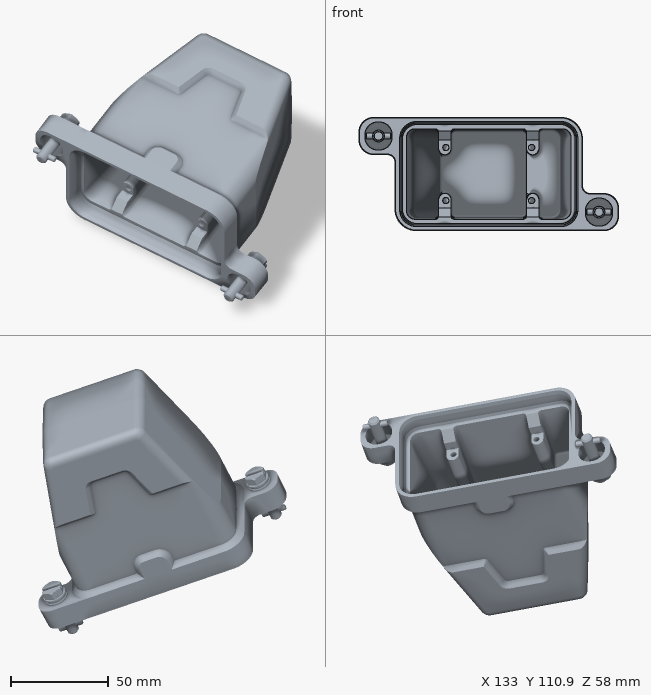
import cadquery as cq
import math


FLANGE_DEPTH = 12.0
FLANGE_WIDTH = 96.0
FLANGE_HEIGHT = 58.0
FLANGE_CORNER_RADIUS = 11.0
FLANGE_DRAFT = 1.0
EAR_SPAN = 133.0
EAR_HEIGHT = 19.0
EAR_RADIUS = 7.5
EAR_ROOT_RADIUS = 4.0
BOLT_X = EAR_SPAN / 2 - 10.0
BOLT_Z = FLANGE_HEIGHT / 2 - EAR_HEIGHT / 2
BOLT_PLACES = [(-BOLT_X, BOLT_Z), (BOLT_X, -BOLT_Z)]
BOLT_POCKET_WIDTH = 14.0
BOLT_POCKET_HEIGHT = 14.4
BOLT_POCKET_RADIUS = 6.7
BOLT_POCKET_DEPTH = 9.0

HOOD_DEPTH = 100.0
HOOD_WIDTH = 90.0
HOOD_HEIGHT = FLANGE_HEIGHT
KNEE_Y = 35.2
SIDE_SLOPE = math.tan(math.radians(15.0))
HOOD_DRAFT = 1.0
HOOD_EDGE_RADIUS = 4.5
HOOD_CORNER_RADIUS = 5.0
STEP = 2.8
NECK_HEIGHT = HOOD_HEIGHT - 2 * STEP
NECK_CORNER_RADIUS = 8.5
SHOULDER_Y = 57.6
CROWN_Y = 77.0
CROWN_HALF_WIDTH = 9.9
CROWN_CORNER_RADIUS = 2.0
PAD_TOP_Y = 25.0
PAD_HALF_WIDTH = 10.35
PAD_RADIUS = 6.7

MOUTH_LEVELS = [
    (0.0, 91.4, 54.0, 9.0),
    (2.2, 90.4, 52.8, 8.4),
    (7.2, 90.0, 52.4, 8.2),
    (8.5, 88.6, 50.8, 7.5),
]
LEDGE_Y = MOUTH_LEVELS[-1][0]

CAVITY_HALF_WIDTH = 42.2
CAVITY_HALF_HEIGHT = 23.2
CAVITY_FLOOR_HALF_HEIGHT = 22.3
CAVITY_CORNER_RADIUS = 4.6
CAVITY_KNEE_X = -38.4
CAVITY_KNEE_Y = 45.0
CAVITY_FLOOR_Y = 96.0
CAVITY_FLOOR_LEFT_X = CAVITY_KNEE_X + (CAVITY_FLOOR_Y - CAVITY_KNEE_Y) * SIDE_SLOPE
BAY_FLOOR_Y = 42.0
BAY_FLOOR_X = 36.9
FLOOR_RADIUS = 1.2

POST_X = 22.5
POST_WIDTH = 6.3
POST_TIP_Z = 9.85
POST_FACE_Y = 19.0
POST_FACE_Z = 17.5
POST_RAMP_Y = 13.8
POST_RAMP_END_Z = 22.1
POST_ROOT_RADIUS = 2.0
POST_ROOT_OVERLAP = 0.05
POST_HOLE_X = 22.0
POST_HOLE_Z = 13.6
POST_HOLE_RADIUS = 1.6
POST_HOLE_DEPTH = 12.0

SHANK_RADIUS = 3.0
SHANK_TIP_Y = -10.89
SHANK_CHAMFER = 0.8
WASHER_RADIUS = 6.1
WASHER_THICKNESS = 0.8
WASHER_GAP_RADIUS = 5.2
WASHER_STACK = 3.1
HEAD_FLATS = 10.0
HEAD_HEIGHT = 4.1
HEAD_CHAMFER = 0.5
HEAD_SLOT_WIDTH = 1.8
HEAD_SLOT_DEPTH = 1.6
CROSS_PIN_Y = -6.75
CROSS_PIN_RADIUS = 1.5
CROSS_PIN_LENGTH = 13.0
CROSS_PIN_CHAMFER = 0.4

BIG = 200.0
NEAR = 0.01


def front_facing(y):
    """Sketch plane at depth y whose extrusions run toward the front (-Y)."""
    return cq.Workplane("XZ", origin=(0, y, 0))


def rounded_rect(width, height, radius):
    return cq.Sketch().rect(width, height).vertices().fillet(radius)


def fillet_at(outline, x, y, radius):
    """Round the corner of a sketch that lies at (x, y)."""
    corner = cq.selectors.NearestToPointSelector((x, y, 0))
    return outline.vertices(corner).fillet(radius).reset()


def both_halves(upper):
    """Join a shape above the Z = 0 parting plane with its mirror image below it."""
    return upper.union(upper.mirror("XY"))


def edges_in(shape, x_range, y_range, z_range):
    """Edges lying wholly inside the given box."""
    found = []
    for edge in shape.edges().vals():
        box = edge.BoundingBox()
        in_x = x_range[0] <= box.xmin and box.xmax <= x_range[1]
        in_y = y_range[0] <= box.ymin and box.ymax <= y_range[1]
        in_z = z_range[0] <= box.zmin and box.zmax <= z_range[1]
        if in_x and in_y and in_z:
            found.append(edge)
    return shape.newObject(found)


def make_flange():
    """Drafted flange with an ear at two opposite corners."""
    ear_x = EAR_SPAN / 2
    half_width = FLANGE_WIDTH / 2
    top = FLANGE_HEIGHT / 2
    ear_bottom = top - EAR_HEIGHT
    outline = cq.Sketch().polygon([
        (-ear_x, top),
        (half_width, top),
        (half_width, -ear_bottom),
        (ear_x, -ear_bottom),
        (ear_x, -top),
        (-half_width, -top),
        (-half_width, ear_bottom),
        (-ear_x, ear_bottom),
        (-ear_x, top),
    ])
    outline = outline.vertices("<X or >X").fillet(EAR_RADIUS).reset()
    for sign in (1, -1):
        outline = fillet_at(outline, sign * half_width, sign * top, FLANGE_CORNER_RADIUS)
        outline = fillet_at(outline, sign * half_width, -sign * ear_bottom, EAR_ROOT_RADIUS)
    return front_facing(FLANGE_DEPTH).placeSketch(outline).extrude(FLANGE_DEPTH, taper=FLANGE_DRAFT)


def hood_plan():
    """Upper half of the drafted block: straight sides, then sides sloping to the back."""
    half_width = HOOD_WIDTH / 2
    back_half_width = half_width - (HOOD_DEPTH - KNEE_Y) * SIDE_SLOPE
    return (
        cq.Workplane("XY")
        .polyline([
            (-half_width, 0),
            (half_width, 0),
            (half_width, KNEE_Y),
            (back_half_width, HOOD_DEPTH),
            (-back_half_width, HOOD_DEPTH),
            (-half_width, KNEE_Y),
        ])
        .close()
        .extrude(HOOD_HEIGHT / 2, taper=HOOD_DRAFT)
    )


def shoulder_recess():
    """Recess above the neck, with a 45 degree edge that steps around a trapezoid crown."""
    crown_foot = CROWN_HALF_WIDTH + (CROWN_Y - SHOULDER_Y) * SIDE_SLOPE
    outline = cq.Sketch().polygon([
        (-BIG, -BIG),
        (BIG, -BIG),
        (BIG, SHOULDER_Y),
        (crown_foot, SHOULDER_Y),
        (CROWN_HALF_WIDTH, CROWN_Y),
        (-CROWN_HALF_WIDTH, CROWN_Y),
        (-crown_foot, SHOULDER_Y),
        (-BIG, SHOULDER_Y),
        (-BIG, -BIG),
    ])
    for x, y in ((crown_foot, SHOULDER_Y), (CROWN_HALF_WIDTH, CROWN_Y)):
        for sign in (1, -1):
            outline = fillet_at(outline, sign * x, y, CROWN_CORNER_RADIUS)
    floor = cq.Workplane("XY", origin=(0, 0, NECK_HEIGHT / 2))
    return both_halves(floor.placeSketch(outline).extrude(2 * STEP, taper=-45))


def make_hood():
    """Rounded head at the back, lower neck in front of it and a 45 degree skirt at the flange."""
    upper = hood_plan()
    corner_box = cq.selectors.BoxSelector((-BIG, HOOD_DEPTH - 3, 1), (BIG, BIG, HOOD_HEIGHT / 2 - 1))
    rounded = upper.edges(corner_box).fillet(HOOD_CORNER_RADIUS)
    rim = rounded.faces(">Z").edges("not <Y")
    block = both_halves(rim.fillet(HOOD_EDGE_RADIUS))
    head = block.cut(cq.Workplane("XY").box(BIG, 2 * SHOULDER_Y, NECK_HEIGHT)).cut(shoulder_recess())

    neck_upper = cq.Workplane("XY").rect(HOOD_WIDTH, 2 * CROWN_Y)
    neck_upper = neck_upper.extrude(NECK_HEIGHT / 2, taper=HOOD_DRAFT)
    neck_upper = neck_upper.faces(">Z").edges("<X or >X").fillet(NECK_CORNER_RADIUS)
    neck = both_halves(neck_upper).intersect(block)

    skirt_outline = rounded_rect(HOOD_WIDTH, NECK_HEIGHT, NECK_CORNER_RADIUS)
    skirt = front_facing(FLANGE_DEPTH + STEP).placeSketch(skirt_outline).extrude(STEP, taper=-45)
    return head.union(neck).union(skirt)


def make_pads():
    """Low arched pads that rise from the neck to flange height, on both broad sides."""
    base_y = FLANGE_DEPTH - STEP
    outline = (
        cq.Sketch()
        .push([(0, (PAD_TOP_Y + base_y) / 2)])
        .rect(2 * PAD_HALF_WIDTH, PAD_TOP_Y - base_y)
        .reset()
        .vertices(">Y")
        .fillet(PAD_RADIUS)
    )
    floor = cq.Workplane("XY", origin=(0, 0, NECK_HEIGHT / 2))
    return both_halves(floor.placeSketch(outline).extrude(STEP, taper=45))


def make_mouth():
    """Stepped opening at the front, from the flange face to the ledge."""
    mouth = None
    for near, far in zip(MOUTH_LEVELS, MOUTH_LEVELS[1:]):
        near_outline = rounded_rect(near[1], near[2], near[3])
        far_outline = rounded_rect(far[1], far[2], far[3]).moved(cq.Location((0, 0, near[0] - far[0])))
        level = front_facing(near[0]).placeSketch(near_outline, far_outline).loft()
        mouth = level if mouth is None else mouth.union(level)
    return mouth


def post_section(wall_z):
    """Section of a post at the place where its wall stands at wall_z: round tip, flared root."""
    half = POST_WIDTH / 2
    tip_centre = POST_TIP_Z + half
    root_z = wall_z + POST_ROOT_OVERLAP
    flare_x = half + POST_ROOT_RADIUS
    flare_z = root_z - POST_ROOT_RADIUS
    flare_mid = POST_ROOT_RADIUS * math.sqrt(0.5)
    outer_z = FLANGE_HEIGHT / 2
    return (
        cq.Sketch()
        .segment((-flare_x, outer_z), (-flare_x, root_z))
        .arc((-flare_x, root_z), (-flare_x + flare_mid, flare_z + flare_mid), (-half, flare_z))
        .segment((-half, flare_z), (-half, tip_centre))
        .arc((-half, tip_centre), (0, POST_TIP_Z), (half, tip_centre))
        .segment((half, tip_centre), (half, flare_z))
        .arc((half, flare_z), (flare_x - flare_mid, flare_z + flare_mid), (flare_x, root_z))
        .segment((flare_x, root_z), (flare_x, outer_z))
        .close()
        .assemble()
    )


def make_posts():
    """Ribs on both broad walls with a screw face near the tip and a ramp down to the ledge."""
    front = post_section(CAVITY_HALF_HEIGHT)
    back = post_section(CAVITY_FLOOR_HALF_HEIGHT).moved(cq.Location((0, 0, LEDGE_Y - CAVITY_FLOOR_Y)))
    post = cq.Workplane("XZ", origin=(POST_X, LEDGE_Y, 0)).placeSketch(front, back).loft(ruled=True)
    ramp = (
        cq.Workplane("YZ", origin=(POST_X, 0, 0))
        .polyline([
            (POST_FACE_Y, 0),
            (POST_FACE_Y, POST_FACE_Z),
            (POST_RAMP_Y, POST_FACE_Z),
            (LEDGE_Y, POST_RAMP_END_Z),
            (0, POST_RAMP_END_Z),
            (0, 0),
        ])
        .close()
        .extrude(POST_WIDTH, both=True)
    )
    posts = both_halves(post.cut(ramp))
    return posts.union(posts.mirror("YZ"))


def make_cavity():
    """Space behind the ledge: a deep bay on the left and middle, a shallow bay on the right."""
    post_inner_x = POST_X - POST_WIDTH / 2
    plan = (
        cq.Workplane("XY")
        .polyline([
            (-CAVITY_HALF_WIDTH, LEDGE_Y),
            (CAVITY_KNEE_X, CAVITY_KNEE_Y),
            (CAVITY_FLOOR_LEFT_X, CAVITY_FLOOR_Y),
            (post_inner_x, CAVITY_FLOOR_Y),
            (post_inner_x, BAY_FLOOR_Y),
            (BAY_FLOOR_X, BAY_FLOOR_Y),
            (CAVITY_HALF_WIDTH, LEDGE_Y),
        ])
        .close()
        .extrude(FLANGE_HEIGHT / 2, both=True)
    )
    height_profile = (
        cq.Workplane("YZ")
        .polyline([
            (LEDGE_Y, CAVITY_HALF_HEIGHT),
            (CAVITY_FLOOR_Y, CAVITY_FLOOR_HALF_HEIGHT),
            (CAVITY_FLOOR_Y, -CAVITY_FLOOR_HALF_HEIGHT),
            (LEDGE_Y, -CAVITY_HALF_HEIGHT),
        ])
        .close()
        .extrude(BIG, both=True)
    )
    cavity = plan.intersect(height_profile)

    for sign in (1, -1):
        z_range = sorted((sign * (CAVITY_FLOOR_HALF_HEIGHT - 0.5), sign * FLANGE_HEIGHT))
        for x_range in ((-BIG, CAVITY_FLOOR_LEFT_X + 0.1), (BAY_FLOOR_X - 0.1, BIG)):
            cavity = edges_in(cavity, x_range, (0, BIG), z_range).fillet(CAVITY_CORNER_RADIUS)
    cavity = cavity.cut(make_posts())

    everywhere = (-BIG, BIG)
    deep_floor = edges_in(cavity, everywhere, (CAVITY_FLOOR_Y - NEAR, CAVITY_FLOOR_Y + NEAR), everywhere)
    cavity = deep_floor.fillet(FLOOR_RADIUS)
    bay_floor = edges_in(cavity, (post_inner_x - NEAR, BIG), (BAY_FLOOR_Y - NEAR, BAY_FLOOR_Y + NEAR), everywhere)
    rounded_edges = [edge for edge in bay_floor.vals() if edge.BoundingBox().xmax > post_inner_x + 0.09]
    return cavity.newObject(rounded_edges).fillet(FLOOR_RADIUS)


def make_housing():
    housing = make_hood().union(make_flange()).union(make_pads())
    housing = housing.cut(make_mouth()).cut(make_cavity())

    post_holes = (
        front_facing(POST_FACE_Y + POST_HOLE_DEPTH)
        .rect(2 * POST_HOLE_X, 2 * POST_HOLE_Z, forConstruction=True)
        .vertices()
        .circle(POST_HOLE_RADIUS)
        .extrude(POST_HOLE_DEPTH)
    )
    housing = housing.cut(post_holes)

    pocket_outline = rounded_rect(BOLT_POCKET_WIDTH, BOLT_POCKET_HEIGHT, BOLT_POCKET_RADIUS)
    for x, z in BOLT_PLACES:
        pocket = front_facing(BOLT_POCKET_DEPTH).center(x, z).placeSketch(pocket_outline).extrude(BOLT_POCKET_DEPTH)
        bore = front_facing(FLANGE_DEPTH).center(x, z).circle(SHANK_RADIUS).extrude(FLANGE_DEPTH)
        housing = housing.cut(pocket).cut(bore)
    return housing


def make_bolt(x, z):
    """Slotted hexagon bolt with its washers and the cross pin near its tip."""
    head_y = FLANGE_DEPTH + WASHER_STACK
    top_y = head_y + HEAD_HEIGHT

    def disc(y_start, y_end, radius):
        return front_facing(y_end).center(x, z).circle(radius).extrude(y_end - y_start)

    shank = disc(SHANK_TIP_Y, head_y, SHANK_RADIUS).faces("<Y").chamfer(SHANK_CHAMFER)
    washer = disc(FLANGE_DEPTH, FLANGE_DEPTH + WASHER_THICKNESS, WASHER_RADIUS)
    gap = disc(FLANGE_DEPTH, head_y, WASHER_GAP_RADIUS)
    collar = disc(head_y - WASHER_THICKNESS, head_y, WASHER_RADIUS)

    across_corners = HEAD_FLATS / math.cos(math.radians(30))
    head = (
        front_facing(top_y)
        .center(x, z)
        .transformed(rotate=(0, 0, 90))
        .polygon(6, across_corners)
        .extrude(HEAD_HEIGHT)
    )
    crown = disc(head_y, top_y, across_corners / 2).faces(">Y").chamfer(HEAD_CHAMFER)
    slot = cq.Workplane("XY").box(2 * HEAD_FLATS, 2 * HEAD_SLOT_DEPTH, HEAD_SLOT_WIDTH).translate((x, top_y, z))
    head = head.intersect(crown).cut(slot)

    cross_pin = (
        cq.Workplane("YZ", origin=(x - CROSS_PIN_LENGTH / 2, CROSS_PIN_Y, z))
        .circle(CROSS_PIN_RADIUS)
        .extrude(CROSS_PIN_LENGTH)
        .faces("<X or >X")
        .chamfer(CROSS_PIN_CHAMFER)
    )
    return shank.union(washer).union(gap).union(collar).union(head).union(cross_pin)


housing = make_housing()
bolts = [make_bolt(x, z) for x, z in BOLT_PLACES]
result = cq.Compound.makeCompound([housing.val(), *[bolt.val() for bolt in bolts]])